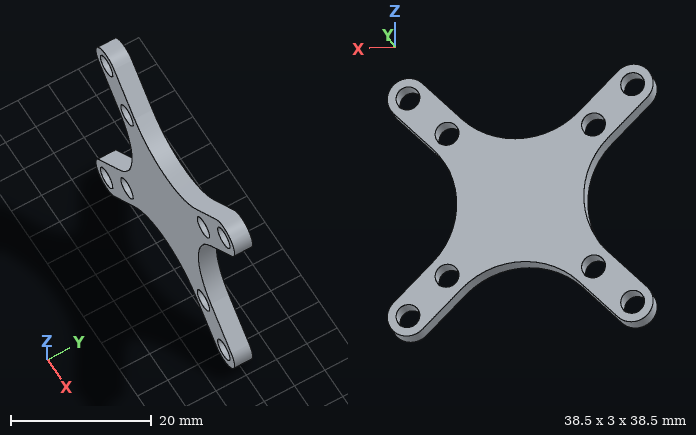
import cadquery as cq
import math

thickness = 3.0
arm_width = 6.0
tip_hole_distance = 23.0
inner_hole_distance = 15.0
hole_diameter = 3.4
waist_radius = 12.0

first_arm_angle = 45
arm_spacing = 90
arm_count = 4
arm_angles = [first_arm_angle + arm_spacing * index for index in range(arm_count)]
tip_radius = arm_width / 2

arm_root_distance = tip_radius + waist_radius

waist_centre_distance = arm_root_distance / math.cos(math.radians(arm_spacing / 2))
waist_depth = waist_centre_distance - waist_radius


def rotated(along, across, angle):
    """Point given along and across a direction at the given angle in degrees."""
    cosine = math.cos(math.radians(angle))
    sine = math.sin(math.radians(angle))
    return (along * cosine - across * sine, along * sine + across * cosine)


def make_plate():
    """X-shaped plate centred on the origin, with rounded arm tips."""
    outline = cq.Workplane("XZ").moveTo(*rotated(arm_root_distance, -tip_radius, arm_angles[0]))
    for angle in arm_angles:
        outline = (
            outline.lineTo(*rotated(tip_hole_distance, -tip_radius, angle))
            .threePointArc(
                rotated(tip_hole_distance + tip_radius, 0, angle),
                rotated(tip_hole_distance, tip_radius, angle),
            )
            .lineTo(*rotated(arm_root_distance, tip_radius, angle))
            .threePointArc(
                rotated(waist_depth, 0, angle + arm_spacing / 2),
                rotated(arm_root_distance, -tip_radius, angle + arm_spacing),
            )
        )
    return outline.close().extrude(thickness / 2, both=True)


def make_holes():
    """Through holes: one at each arm tip and one near each arm root."""
    centres = [
        rotated(distance, 0, angle)
        for distance in (inner_hole_distance, tip_hole_distance)
        for angle in arm_angles
    ]
    return (
        cq.Workplane("XZ")
        .pushPoints(centres)
        .circle(hole_diameter / 2)
        .extrude(thickness / 2, both=True)
    )


result = make_plate().cut(make_holes())